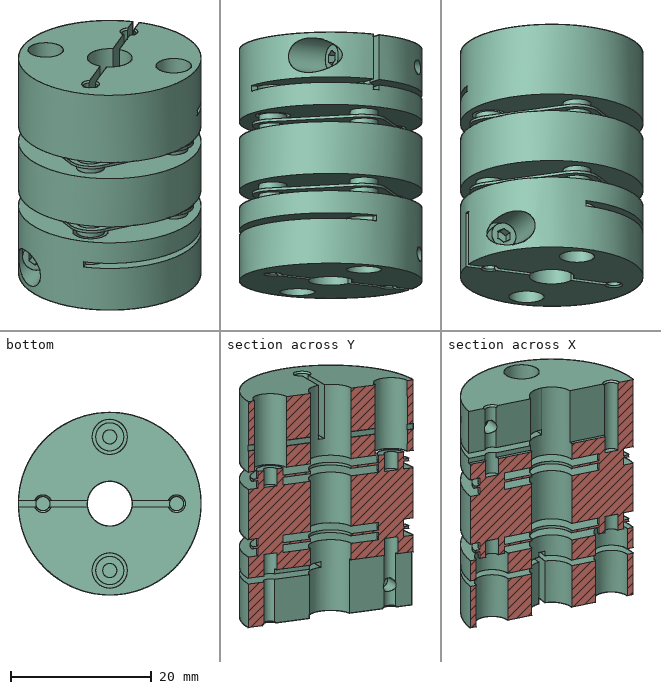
import cadquery as cq
import math

BODY_DIAMETER = 26.0
BORE_DIAMETER = 6.35
HUB_HEIGHT = 10.5
GAP_HEIGHT = 2.5
MIDDLE_HEIGHT = 7.5
TOTAL_HEIGHT = 2 * HUB_HEIGHT + 2 * GAP_HEIGHT + MIDDLE_HEIGHT

PIN_RADIUS = 9.5
SPACER_DIAMETER = 4.0
DISC_SIDE = 19.4
DISC_CORNER_RADIUS = 3.4
DISC_THICKNESS = 0.4

ACCESS_HOLE_DIAMETER = 5.0
SMALL_HOLE_DIAMETER = 2.01
SMALL_HOLE_CHAMFER = 0.25

SLIT_WIDTH = 0.95
SLIT_DEPTH = 8.0
CROSS_SLOT_START = 6.5
CROSS_SLOT_WIDTH = 0.8

SCREW_HEIGHT = 3.3
SCREW_COUNTERBORE_DIAMETER = 5.0
SCREW_HEAD_DIAMETER = 3.7
SCREW_HEAD_HEIGHT = 2.0
SCREW_SEAT_OFFSET = 3.3
SOCKET_ACROSS_FLATS = 1.8
SOCKET_DEPTH = 1.5

BODY_RADIUS = BODY_DIAMETER / 2
X_PINS = [(-PIN_RADIUS, 0), (PIN_RADIUS, 0)]
Y_PINS = [(0, -PIN_RADIUS), (0, PIN_RADIUS)]


def cylinders(points, diameter, base, height):
    """Equal vertical cylinders standing on the plane z = base."""
    plane = cq.Workplane("XY", origin=(0, 0, base))
    return plane.pushPoints(points).circle(diameter / 2).extrude(height)


def cylinder_along_y(diameter, start, length):
    """Cylinder on the clamp screw axis, growing toward +Y from y = start."""
    plane = cq.Plane(origin=(-PIN_RADIUS, start, SCREW_HEIGHT), xDir=(1, 0, 0), normal=(0, 1, 0))
    return cq.Workplane(plane).circle(diameter / 2).extrude(length)


def clamp_slits(cross_side):
    """Slit open toward -X, and a half-width cross slot on the cross_side (+1 or -1) of X."""
    slit = cq.Workplane("XY").box(
        BODY_RADIUS + PIN_RADIUS, SLIT_WIDTH, SLIT_DEPTH, centered=(False, True, False)
    ).translate((-BODY_RADIUS, 0, 0))
    cross_slot = cq.Workplane("XY").box(
        BODY_RADIUS, BODY_DIAMETER, CROSS_SLOT_WIDTH, centered=(True, True, False)
    ).translate((cross_side * BODY_RADIUS / 2, 0, CROSS_SLOT_START))
    return slit.union(cross_slot)


def small_axial_holes():
    """Through holes on the slit line, chamfered at the outer end face."""
    holes = cylinders(X_PINS, SMALL_HOLE_DIAMETER, 0, HUB_HEIGHT)
    hole_radius = SMALL_HOLE_DIAMETER / 2
    for x, y in X_PINS:
        cone = cq.Solid.makeCone(
            hole_radius + SMALL_HOLE_CHAMFER, hole_radius, SMALL_HOLE_CHAMFER, pnt=cq.Vector(x, y, 0)
        )
        holes = holes.union(cq.Workplane(cone))
    return holes


def clamp_screw_hole():
    """Counterbore from the -Y side down to the seat, then a small hole out of the +Y side."""
    counterbore = cylinder_along_y(
        SCREW_COUNTERBORE_DIAMETER, -BODY_RADIUS, BODY_RADIUS - SCREW_SEAT_OFFSET
    )
    screw_hole = cylinder_along_y(
        SMALL_HOLE_DIAMETER, -SCREW_SEAT_OFFSET, BODY_RADIUS + SCREW_SEAT_OFFSET
    )
    return counterbore.union(screw_hole)


def clamp_screw_head():
    """Socket head resting on the counterbore seat, hexagon corners pointing along Z."""
    face_y = -SCREW_SEAT_OFFSET - SCREW_HEAD_HEIGHT
    head = cylinder_along_y(SCREW_HEAD_DIAMETER, face_y, SCREW_HEAD_HEIGHT)
    socket_plane = cq.Plane(
        origin=(-PIN_RADIUS, face_y, SCREW_HEIGHT), xDir=(0, 0, 1), normal=(0, 1, 0)
    )
    across_corners = SOCKET_ACROSS_FLATS / math.cos(math.pi / 6)
    socket = cq.Workplane(socket_plane).polygon(6, across_corners).extrude(SOCKET_DEPTH)
    return head.cut(socket)


def clamp_hub(cross_side):
    """Clamp hub with its outer end face on z = 0."""
    hub = cq.Workplane("XY").circle(BODY_RADIUS).extrude(HUB_HEIGHT)
    hub = hub.cut(cylinders(Y_PINS, ACCESS_HOLE_DIAMETER, 0, HUB_HEIGHT))
    hub = hub.cut(small_axial_holes())
    hub = hub.cut(clamp_slits(cross_side))
    hub = hub.cut(clamp_screw_hole())
    return hub.union(clamp_screw_head())


def flexible_joint():
    """Disc with four spacers filling the gap above the lower hub."""
    disc_base = HUB_HEIGHT + (GAP_HEIGHT - DISC_THICKNESS) / 2
    disc = cq.Workplane("XY").box(DISC_SIDE, DISC_SIDE, DISC_THICKNESS, centered=(True, True, False))
    disc = disc.edges("|Z").fillet(DISC_CORNER_RADIUS)
    disc = disc.rotate((0, 0, 0), (0, 0, 1), 45).translate((0, 0, disc_base))
    joint = disc.union(cylinders(X_PINS + Y_PINS, SPACER_DIAMETER, HUB_HEIGHT, GAP_HEIGHT))
    return joint.cut(cylinders(Y_PINS, SMALL_HOLE_DIAMETER, HUB_HEIGHT, GAP_HEIGHT))


def to_top(half):
    """Half turn about the mid-height diagonal that swaps -X with +Y and turns the bottom up."""
    middle = TOTAL_HEIGHT / 2
    return half.rotate((0, 0, middle), (1, -1, middle), 180)


lower_half = clamp_hub(cross_side=1).union(flexible_joint())
upper_half = to_top(clamp_hub(cross_side=-1).union(flexible_joint()))
middle_body = cylinders([(0, 0)], BODY_DIAMETER, HUB_HEIGHT + GAP_HEIGHT, MIDDLE_HEIGHT)
bore = cylinders([(0, 0)], BORE_DIAMETER, 0, TOTAL_HEIGHT)

result = middle_body.union(lower_half).union(upper_half).cut(bore)